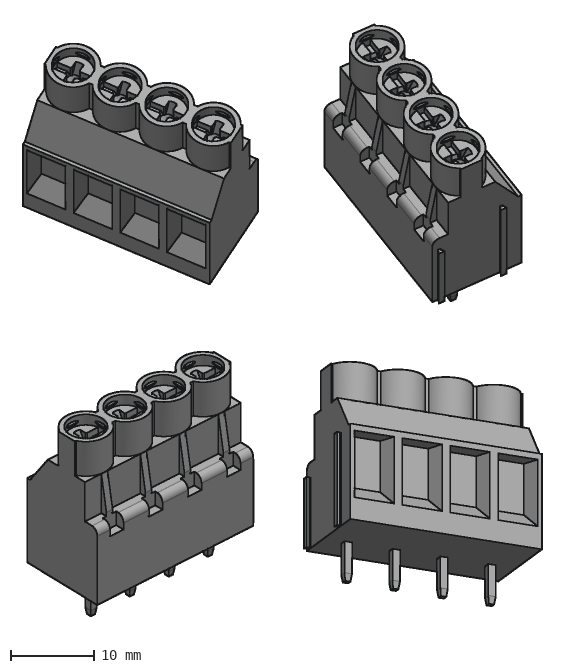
import cadquery as cq
import math

poles = 4
pitch = 6.35
body_length = poles * pitch
body_depth = 12.5
body_height = 21.7
pole_centers = [(index + 0.5) * pitch for index in range(poles)]

collar_diameter = 6.6
collar_height = 5.0
collar_web_width = 3.0
screw_y = 7.0
collar_base = body_height - collar_height

lip_depth = 0.5
lip_height = 12.2
slope_top_y = screw_y - collar_diameter / 2
back_step_y = screw_y + collar_diameter / 2
back_step_height = 11.0
back_edge_radius = 1.0

gusset_width = 1.0
notch_width = 2.2
notch_depth = 1.3
notch_drop = 2.0
gusset_tip_y = body_depth - notch_depth
gusset_tip_rise = 0.6

funnel_width = 5.25
funnel_back_width = 3.5
funnel_bottom = 2.85
funnel_top = 11.4
funnel_back_bottom = 4.85
funnel_depth = 2.1

rail_length = 0.6
rail_neck_length = 0.15
rail_tip_width = 0.8
rail_neck_width = 0.4
front_rail_y = 2.87
front_rail_height = 11.9
back_rail_y = 11.55
back_rail_height = 9.0

pin_width = 1.0
pin_tip_width = 0.7
pin_tip_height = 1.0
pin_length = 5.0
pin_y = 7.9

bore_diameter = 5.2
screw_diameter = 5.1
screw_recess = 1.5
screw_top = body_height - screw_recess
screw_slot_width = 1.05
screw_slot_depth = 1.0
cross_top_radius = 1.71
cross_root_radius = 0.9
cross_root_depth = 1.56
cross_tip_depth = 2.4
cross_core_radius = 0.85

bead_radius = 0.25
bead_inner_reach = 2.41
bead_length = 2.4
bead_ridge_z = body_height - 0.95
bead_taper_height = 0.5


def make_box(x_min, x_max, y_min, y_max, z_min, z_max):
    """Box between two opposite corners."""
    box = cq.Workplane("XY").box(x_max - x_min, y_max - y_min, z_max - z_min, centered=False)
    return box.translate((x_min, y_min, z_min))


def extrude_along_x(points, x_min, length):
    """Closed outline of (y, z) points extruded towards +X."""
    return cq.Workplane("YZ", origin=(x_min, 0, 0)).polyline(points).close().extrude(length)


def make_housing_block():
    """Stepped cross-section over the full length, with a rounded back edge."""
    outline = [
        (0, 0),
        (body_depth, 0),
        (body_depth, back_step_height),
        (back_step_y, back_step_height),
        (back_step_y, collar_base),
        (slope_top_y, collar_base),
        (lip_depth, lip_height),
        (0, lip_height),
    ]
    block = extrude_along_x(outline, 0, body_length)
    back_edge = cq.selectors.NearestToPointSelector((body_length / 2, body_depth, back_step_height))
    return block.edges(back_edge).fillet(back_edge_radius)


def make_collars():
    """Overlapping round collars joined by a straight web and cut off flush at both ends."""
    half_web = collar_web_width / 2
    collars = make_box(0, body_length, screw_y - half_web, screw_y + half_web, collar_base, body_height)
    for x in pole_centers:
        collar = (
            cq.Workplane("XY", origin=(x, screw_y, collar_base))
            .circle(collar_diameter / 2)
            .extrude(collar_height)
        )
        collars = collars.union(collar)
    return collars.intersect(make_box(0, body_length, 0, body_depth, collar_base, body_height))


def make_gusset(x):
    """Tapered rib on the back wall, ending at the notch."""
    outline = [
        (back_step_y, back_step_height),
        (gusset_tip_y, back_step_height),
        (gusset_tip_y, back_step_height + gusset_tip_rise),
        (back_step_y, collar_base),
    ]
    return extrude_along_x(outline, x - gusset_width / 2, gusset_width)


def make_notch(x):
    """Square notch in the back top edge."""
    half_width = notch_width / 2
    floor_z = back_step_height - notch_drop
    return make_box(x - half_width, x + half_width, gusset_tip_y, body_depth, floor_z, back_step_height)


def make_funnel(x):
    """Wire entry that narrows towards a flat back wall; its ceiling is level."""
    back_height = funnel_top - funnel_back_bottom
    front_height = funnel_top - funnel_bottom
    return (
        cq.Workplane("XZ", origin=(x, 0, funnel_top))
        .center(0, -front_height / 2)
        .rect(funnel_width, front_height)
        .workplane(offset=-funnel_depth)
        .center(0, (front_height - back_height) / 2)
        .rect(funnel_back_width, back_height)
        .loft(ruled=True)
    )


def make_rail(y, height):
    """Dovetail rail standing on the -X end face."""
    half_tip = rail_tip_width / 2
    half_neck = rail_neck_width / 2
    outline = [
        (0, y - half_neck),
        (-rail_neck_length, y - half_neck),
        (-rail_length, y - half_tip),
        (-rail_length, y + half_tip),
        (-rail_neck_length, y + half_neck),
        (0, y + half_neck),
    ]
    return cq.Workplane("XY").polyline(outline).close().extrude(height)


def make_pin(x):
    """Square solder pin with a tapered tip."""
    shank_length = pin_length - pin_tip_height
    shank = cq.Workplane("XY", origin=(x, pin_y, 0)).rect(pin_width, pin_width).extrude(-shank_length)
    tip = (
        cq.Workplane("XY", origin=(x, pin_y, -shank_length))
        .rect(pin_width, pin_width)
        .workplane(offset=-pin_tip_height)
        .rect(pin_tip_width, pin_tip_width)
        .loft(ruled=True)
    )
    return shank.union(tip)


def make_bead(x):
    """Straight bead on the +Y side of a bore: rounded above its ridge and tapered below."""
    ridge_y = screw_y + bead_inner_reach
    wall_y = screw_y + bore_diameter / 2
    root_y = ridge_y + bead_radius
    bottom_z = bead_ridge_z - bead_taper_height
    arc_offset = bead_radius * (1 - math.sqrt(0.5))
    arc_rise = bead_radius * math.sqrt(0.5)
    return (
        cq.Workplane("YZ", origin=(x, 0, 0))
        .moveTo(root_y, bottom_z)
        .lineTo(wall_y, bottom_z)
        .lineTo(ridge_y, bead_ridge_z)
        .threePointArc((ridge_y + arc_offset, bead_ridge_z + arc_rise), (root_y, bead_ridge_z + bead_radius))
        .close()
        .extrude(bead_length / 2, both=True)
    )


def make_bore(x):
    """Screw bore with four horizontal beads left standing on its wall."""
    bore = (
        cq.Workplane("XY", origin=(x, screw_y, collar_base))
        .circle(bore_diameter / 2)
        .extrude(collar_height)
    )
    bead = make_bead(x)
    for quarter in range(4):
        bore = bore.cut(bead.rotate((x, screw_y, 0), (x, screw_y, 1), 90 * quarter))
    return bore


def make_housing():
    """Housing with collars, gussets, rails and solder pins."""
    housing = make_housing_block().union(make_collars())
    housing = housing.union(make_rail(front_rail_y, front_rail_height))
    housing = housing.union(make_rail(back_rail_y, back_rail_height))
    for x in pole_centers:
        housing = housing.union(make_gusset(x)).union(make_pin(x))
        housing = housing.cut(make_notch(x)).cut(make_funnel(x)).cut(make_bore(x))
    return housing


def make_drive_recess():
    """Tapered cross recess with a round core and a conical tip, opening upwards at Z = 0."""
    envelope = (
        cq.Workplane("XZ")
        .moveTo(0, 0)
        .lineTo(cross_top_radius, 0)
        .lineTo(cross_root_radius, -cross_root_depth)
        .lineTo(0, -cross_tip_depth)
        .close()
        .revolve(360, (0, 0, 0), (0, 1, 0))
    )
    arms = (
        cq.Workplane("XY")
        .circle(cross_core_radius)
        .extrude(-cross_tip_depth)
        .union(cq.Workplane("XY").rect(2 * cross_top_radius, screw_slot_width).extrude(-cross_tip_depth))
        .union(cq.Workplane("XY").rect(screw_slot_width, 2 * cross_top_radius).extrude(-cross_tip_depth))
    )
    return envelope.intersect(arms)


def make_screw(x):
    """Combination-head screw resting on the floor of its bore."""
    screw = (
        cq.Workplane("XY", origin=(0, 0, collar_base - screw_top))
        .circle(screw_diameter / 2)
        .extrude(screw_top - collar_base)
    )
    slot = cq.Workplane("XY").rect(screw_diameter, screw_slot_width).extrude(-screw_slot_depth)
    screw = screw.cut(slot).cut(make_drive_recess())
    return screw.translate((x, screw_y, screw_top))


housing = make_housing()
screws = [make_screw(x) for x in pole_centers]

result = cq.Compound.makeCompound([housing.val(), *[screw.val() for screw in screws]])